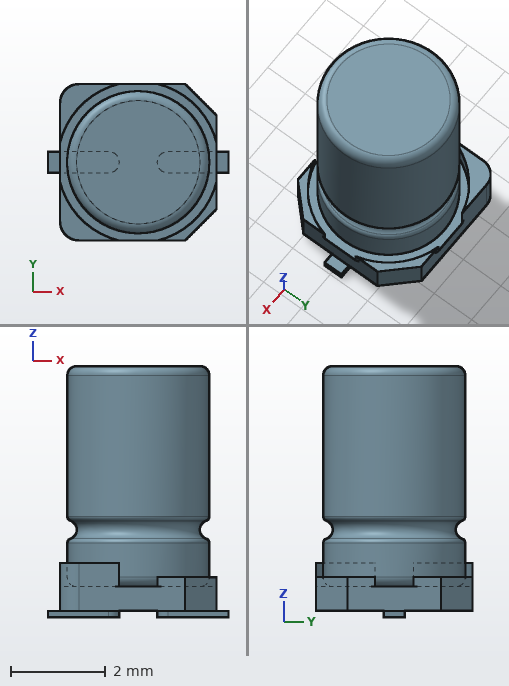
import cadquery as cq
import math

OVERALL_LENGTH = 3.81
OVERALL_HEIGHT = 5.3

BASE_WIDTH = 3.3
BASE_BOTTOM = 0.14
BASE_TALL_TOP = 1.15
BASE_LOW_TOP = 0.85
BASE_FLOOR = 0.65
BASE_CORNER_RADIUS = 0.4
BASE_CORNER_CHAMFER = 0.66
RECESS_RADIUS = 1.7

CAN_RADIUS = 1.5
CAN_EDGE_RADIUS = 0.2

GROOVE_HEIGHT = 1.85
GROOVE_RADIUS = 0.2
GROOVE_LIP_RADIUS = 0.1

LEAD_WIDTH = 0.45
LEAD_GAP = 0.8


def make_base():
    """Square base with a round recess that breaks through all four sides."""
    base = (
        cq.Workplane("XY", origin=(0, 0, BASE_BOTTOM))
        .rect(BASE_WIDTH, BASE_WIDTH)
        .extrude(BASE_TALL_TOP - BASE_BOTTOM)
    )
    base = base.edges("|Z and <X").fillet(BASE_CORNER_RADIUS)
    base = base.edges("|Z and >X").chamfer(BASE_CORNER_CHAMFER)

    low_half = (
        cq.Workplane("XY", origin=(0, 0, BASE_LOW_TOP))
        .rect(BASE_WIDTH, BASE_WIDTH)
        .extrude(BASE_TALL_TOP - BASE_LOW_TOP)
        .translate((BASE_WIDTH / 2, 0, 0))
    )
    recess = (
        cq.Workplane("XY", origin=(0, 0, BASE_FLOOR))
        .circle(RECESS_RADIUS)
        .extrude(BASE_TALL_TOP - BASE_FLOOR)
    )
    return base.cut(low_half).cut(recess)


def make_can():
    """Revolved can: rounded ends and a crimp groove with rounded lips."""
    edge_circle_r = CAN_RADIUS - CAN_EDGE_RADIUS
    edge_mid = CAN_EDGE_RADIUS * math.sqrt(0.5)

    lip_circle_r = CAN_RADIUS - GROOVE_LIP_RADIUS
    centre_distance = GROOVE_RADIUS + GROOVE_LIP_RADIUS
    lip_offset = math.sqrt(centre_distance**2 - GROOVE_LIP_RADIUS**2)
    lip_share = GROOVE_RADIUS / centre_distance
    tangent_r = CAN_RADIUS - GROOVE_LIP_RADIUS * lip_share
    tangent_offset = lip_offset * lip_share
    lip_half_angle = math.acos(GROOVE_LIP_RADIUS / centre_distance) / 2
    lip_mid_r = lip_circle_r + GROOVE_LIP_RADIUS * math.cos(lip_half_angle)
    lip_mid_offset = lip_offset - GROOVE_LIP_RADIUS * math.sin(lip_half_angle)

    profile = (
        cq.Workplane("XZ")
        .moveTo(0, BASE_FLOOR)
        .lineTo(edge_circle_r, BASE_FLOOR)
        .threePointArc(
            (edge_circle_r + edge_mid, BASE_FLOOR + CAN_EDGE_RADIUS - edge_mid),
            (CAN_RADIUS, BASE_FLOOR + CAN_EDGE_RADIUS),
        )
        .lineTo(CAN_RADIUS, GROOVE_HEIGHT - lip_offset)
        .threePointArc(
            (lip_mid_r, GROOVE_HEIGHT - lip_mid_offset),
            (tangent_r, GROOVE_HEIGHT - tangent_offset),
        )
        .threePointArc(
            (CAN_RADIUS - GROOVE_RADIUS, GROOVE_HEIGHT),
            (tangent_r, GROOVE_HEIGHT + tangent_offset),
        )
        .threePointArc(
            (lip_mid_r, GROOVE_HEIGHT + lip_mid_offset),
            (CAN_RADIUS, GROOVE_HEIGHT + lip_offset),
        )
        .lineTo(CAN_RADIUS, OVERALL_HEIGHT - CAN_EDGE_RADIUS)
        .threePointArc(
            (edge_circle_r + edge_mid, OVERALL_HEIGHT - CAN_EDGE_RADIUS + edge_mid),
            (edge_circle_r, OVERALL_HEIGHT),
        )
        .lineTo(0, OVERALL_HEIGHT)
        .close()
    )
    return profile.revolve(360, (0, 0, 0), (0, 1, 0))


def make_lead(side):
    """Flat lead with a full-round inner end; side is -1 or +1 along X."""
    half_width = LEAD_WIDTH / 2
    inner_tip = side * LEAD_GAP / 2
    round_start = side * (LEAD_GAP / 2 + half_width)
    outer_end = side * OVERALL_LENGTH / 2
    return (
        cq.Workplane("XY")
        .moveTo(outer_end, -half_width)
        .lineTo(round_start, -half_width)
        .threePointArc((inner_tip, 0), (round_start, half_width))
        .lineTo(outer_end, half_width)
        .close()
        .extrude(BASE_BOTTOM)
    )


result = make_base().union(make_can())
for lead_side in (-1, 1):
    result = result.union(make_lead(lead_side))